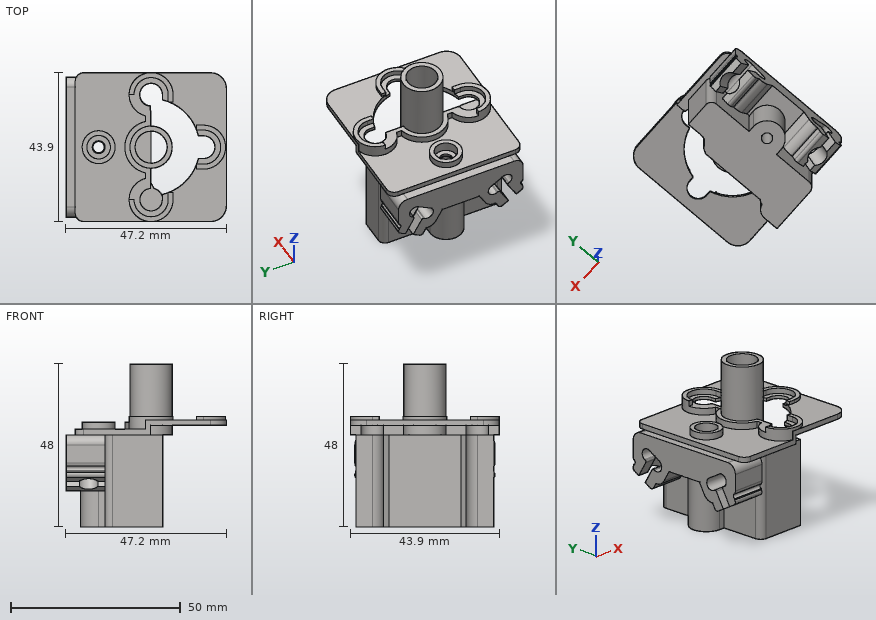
import math

import cadquery as cq


BLOCK_TOP = 27.2
PLATE_THICKNESS = 1.65
LOW_PLATE_TOP = BLOCK_TOP + PLATE_THICKNESS
HIGH_PLATE_TOP = 31.6
HIGH_PLATE_BOTTOM = HIGH_PLATE_TOP - PLATE_THICKNESS
FLOOR_Z = 30.95
RIM_TOP = 32.6
TUBE_TOP = 48.01

PLATE_LEFT = -22.35
PLATE_RIGHT = 22.22
PLATE_HALF_WIDTH = 21.945
LEFT_CORNER_RADIUS = 2.5
RIGHT_CORNER_RADIUS = 4.7
STEP_LEFT = -1.65
STEP_RIGHT = -0.2
OPENING_RADIUS = 14.3

TUBE_RADIUS = 6.23
BORE_RADIUS = 4.7
COLLAR_RADIUS = 7.75
BOSS_OFFSET = 15.47
BOSS_RADIUS = PLATE_HALF_WIDTH - BOSS_OFFSET
RECESS_RADIUS = 5.03
PORT_RADIUS = 3.3
RIM_LEG = 2.1

SCREW_X = -15.45
SCREW_BOSS_RADIUS = 4.85
SCREW_HEAD_RADIUS = 3.47
SCREW_SEAT_Z = 27.95
PLATE_HOLE_RADIUS = 1.9
COLUMN_HOLE_RADIUS = 1.65
COLUMN_RADIUS = 5.36
COLUMN_TOP = 17.6
NECK_RADIUS = 3.3

BLOCK_LEFT = -13.56
BLOCK_HALF_WIDTH = 20.3
BLOCK_CORNER_RADIUS = 2.2
LOBE_RADIUS = 3.45
LOBE_RAMP_START = 10.6
LOBE_RAMP_ANGLE = 75.0

BRACKET_LEFT = -25.0
BRACKET_HALF_WIDTH = 20.66
BRACKET_CORNER_RADIUS = 3.0
BRIDGE_BOTTOM = 18.0
BRIDGE_HALF_WIDTH = 6.14
CLIP_TILT = math.radians(30)
CLIP_Y = 13.04
CLIP_Z = 19.75
CLIP_LOBE_RADIUS = 1.95
CLIP_LOBE_SPACING = 4.58
STEM_WIDTH = 2.98
STEM_FILLET = 0.5
TIP_DEPTH = 8.1
INNER_JAW_REACH = 4.84
INNER_JAW_RADIUS = 1.0
OUTER_JAW_REACH = 3.78
SHOULDER_RADIUS = 3.5
SHOULDER_BOTTOM = 12.8
SIDE_BOTTOM = 18.97
GROOVE_EDGE_Y = 20.42
GROOVE_TOP = 18.0
GROOVE_BOTTOM = 16.5
LIP_FLAT = 0.4
GROOVE_FLOOR_Y = 19.87
JAW_BULGE_Z = 15.5
JAW_HOLE_X = -18.4
JAW_HOLE_RADIUS = 3.1


def disc(x, y, radius, bottom, top):
    """Vertical cylinder between two heights."""
    return cq.Workplane("XY", origin=(x, y, bottom)).circle(radius).extrude(top - bottom)


def slab(x0, x1, y0, y1, z0, z1):
    """Axis-aligned box given by its limits."""
    return cq.Workplane("XY").box(x1 - x0, y1 - y0, z1 - z0, centered=False).translate((x0, y0, z0))


def mirror_y(shape):
    """Copy reflected to the other side of the XZ plane."""
    return shape.mirror("XZ")


def stepped_plate():
    """Sheet that steps up at the tube, with rounded corners."""
    profile = [
        (PLATE_LEFT, BLOCK_TOP),
        (STEP_RIGHT, BLOCK_TOP),
        (STEP_RIGHT, HIGH_PLATE_BOTTOM),
        (PLATE_RIGHT, HIGH_PLATE_BOTTOM),
        (PLATE_RIGHT, HIGH_PLATE_TOP),
        (STEP_LEFT, HIGH_PLATE_TOP),
        (STEP_LEFT, LOW_PLATE_TOP),
        (PLATE_LEFT, LOW_PLATE_TOP),
    ]
    plate = cq.Workplane("XZ").polyline(profile).close().extrude(PLATE_HALF_WIDTH, both=True)
    plate = plate.edges("|Z and <X").fillet(LEFT_CORNER_RADIUS)
    return plate.edges("|Z and >X").fillet(RIGHT_CORNER_RADIUS)


def u_shape(radius, bottom, top):
    """Disc on the +X boss centre with a straight run toward the tube."""
    run = slab(BOSS_OFFSET - RIM_LEG, BOSS_OFFSET, -radius, radius, bottom, top)
    return disc(BOSS_OFFSET, 0, radius, bottom, top).union(run)


def end_rim():
    """U-shaped rim of the +X boss."""
    keep = slab(BOSS_OFFSET - RIM_LEG, PLATE_RIGHT, -BOSS_RADIUS, BOSS_RADIUS, HIGH_PLATE_BOTTOM, RIM_TOP)
    return u_shape(BOSS_RADIUS, HIGH_PLATE_BOTTOM, RIM_TOP).intersect(keep)


def side_rim():
    """Rim of the +Y boss: outer half circle and one straight leg."""
    half = slab(-BOSS_RADIUS, BOSS_RADIUS, BOSS_OFFSET, PLATE_HALF_WIDTH, LOW_PLATE_TOP, RIM_TOP)
    rim = disc(0, BOSS_OFFSET, BOSS_RADIUS, LOW_PLATE_TOP, RIM_TOP).intersect(half)
    leg = slab(0, BOSS_RADIUS, BOSS_OFFSET - RIM_LEG, BOSS_OFFSET, HIGH_PLATE_BOTTOM, RIM_TOP)
    under = slab(STEP_RIGHT, BOSS_RADIUS, 0, PLATE_HALF_WIDTH, BLOCK_TOP, HIGH_PLATE_BOTTOM)
    return rim.union(leg).cut(under)


def side_floor():
    """Low part of the +Y boss, left of the step."""
    left = slab(-BOSS_RADIUS, STEP_RIGHT, 0, PLATE_HALF_WIDTH, BLOCK_TOP, FLOOR_Z)
    return disc(0, BOSS_OFFSET, BOSS_RADIUS, BLOCK_TOP, FLOOR_Z).intersect(left)


def side_recess():
    """Space above the floor of the +Y boss and of the strip toward the tube."""
    pocket = disc(0, BOSS_OFFSET, RECESS_RADIUS, FLOOR_Z, RIM_TOP)
    right_run = slab(0, RECESS_RADIUS, 0, BOSS_OFFSET, FLOOR_Z, RIM_TOP)
    strip = slab(-BOSS_RADIUS, 0, 0, BOSS_OFFSET, FLOOR_Z, RIM_TOP)
    return pocket.union(right_run).union(strip)


def side_port():
    """Through hole of the +Y boss, open toward the large opening."""
    port = disc(0, BOSS_OFFSET, PORT_RADIUS, BLOCK_TOP, RIM_TOP)
    return port.union(slab(0, PORT_RADIUS, 0, BOSS_OFFSET, BLOCK_TOP, RIM_TOP))


def end_port():
    """Through hole of the +X boss, open toward the large opening."""
    port = disc(BOSS_OFFSET, 0, PORT_RADIUS, BLOCK_TOP, RIM_TOP)
    return port.union(slab(0, BOSS_OFFSET, -PORT_RADIUS, PORT_RADIUS, BLOCK_TOP, RIM_TOP))


def large_opening():
    """Half-round window right of the step."""
    right = slab(STEP_RIGHT, OPENING_RADIUS, -OPENING_RADIUS, OPENING_RADIUS, BLOCK_TOP, RIM_TOP)
    return disc(0, 0, OPENING_RADIUS, BLOCK_TOP, RIM_TOP).intersect(right)


def top_plate():
    """Stepped plate with bosses, recesses, openings, tube and screw boss."""
    plate = stepped_plate().union(disc(0, 0, COLLAR_RADIUS, BLOCK_TOP, FLOOR_Z))
    plate = plate.union(end_rim())
    for raised in (side_rim(), side_floor()):
        plate = plate.union(raised).union(mirror_y(raised))
    plate = plate.cut(u_shape(RECESS_RADIUS, FLOOR_Z, RIM_TOP))
    for opening in (side_recess(), side_port()):
        plate = plate.cut(opening).cut(mirror_y(opening))
    plate = plate.cut(end_port()).cut(large_opening())
    plate = plate.union(disc(0, 0, TUBE_RADIUS, BLOCK_TOP, TUBE_TOP))
    plate = plate.cut(disc(0, 0, BORE_RADIUS, BLOCK_TOP, TUBE_TOP))
    plate = plate.union(disc(SCREW_X, 0, SCREW_BOSS_RADIUS, BLOCK_TOP, FLOOR_Z))
    return plate.cut(disc(SCREW_X, 0, SCREW_HEAD_RADIUS, SCREW_SEAT_Z, FLOOR_Z))


def lobe():
    """Full-height prism on the -Y side that stands proud of the parting face."""
    ramp_angle = math.radians(LOBE_RAMP_ANGLE)
    mid_angle = ramp_angle / 2
    ramp_end = (LOBE_RADIUS * math.cos(ramp_angle), LOBE_RADIUS * math.sin(ramp_angle) - BOSS_OFFSET)
    arc_mid = (LOBE_RADIUS * math.cos(mid_angle), LOBE_RADIUS * math.sin(mid_angle) - BOSS_OFFSET)
    return (
        cq.Workplane("XY")
        .moveTo(0, -LOBE_RAMP_START)
        .lineTo(*ramp_end)
        .threePointArc(arc_mid, (LOBE_RADIUS, -BOSS_OFFSET))
        .lineTo(LOBE_RADIUS, -BLOCK_HALF_WIDTH)
        .lineTo(0, -BLOCK_HALF_WIDTH)
        .close()
        .extrude(BLOCK_TOP)
    )


def block():
    """Main block; the socket is the lobe turned half a turn about the tube axis."""
    body = slab(BLOCK_LEFT, 0, -BLOCK_HALF_WIDTH, BLOCK_HALF_WIDTH, 0, BLOCK_TOP)
    body = body.edges("|Z and <X").fillet(BLOCK_CORNER_RADIUS)
    socket = lobe().rotate((0, 0, 0), (0, 0, 1), 180)
    return body.union(lobe()).cut(socket)


def screw_column():
    """Column in front of the block, with a narrower neck up to the bracket."""
    column = disc(SCREW_X, 0, COLUMN_RADIUS, 0, COLUMN_TOP)
    column = column.union(slab(SCREW_X, BLOCK_LEFT, -COLUMN_RADIUS, COLUMN_RADIUS, 0, COLUMN_TOP))
    return column.union(disc(SCREW_X, 0, NECK_RADIUS, COLUMN_TOP, BRIDGE_BOTTOM))


def clip_point(across, down):
    """(Y, Z) of a point in the tilted clip frame: across the jaws, down toward their tips."""
    y = CLIP_Y + across * math.cos(CLIP_TILT) + down * math.sin(CLIP_TILT)
    z = CLIP_Z + across * math.sin(CLIP_TILT) - down * math.cos(CLIP_TILT)
    return y, z


def bracket_half():
    """Bracket section for Y >= 0, extruded along X, before the clip slot is cut."""
    shoulder_z = SHOULDER_BOTTOM + SHOULDER_RADIUS
    shoulder_start_z = shoulder_z - SHOULDER_RADIUS * math.sin(CLIP_TILT)
    shoulder_start_y = BRIDGE_HALF_WIDTH + (BRIDGE_BOTTOM - shoulder_start_z) * math.tan(CLIP_TILT)
    shoulder_y = shoulder_start_y + SHOULDER_RADIUS * math.cos(CLIP_TILT)
    shoulder_mid = (
        shoulder_y - SHOULDER_RADIUS * math.sin(CLIP_TILT),
        shoulder_z - SHOULDER_RADIUS * math.cos(CLIP_TILT),
    )
    jaw_root_y = CLIP_Y + (
        (CLIP_Z - SHOULDER_BOTTOM) * math.sin(CLIP_TILT) - INNER_JAW_REACH
    ) / math.cos(CLIP_TILT)
    corner_inset = INNER_JAW_RADIUS * (1 - math.sqrt(0.5))
    inner_side = -INNER_JAW_REACH
    side_round_mid = (
        BRACKET_HALF_WIDTH - (BRACKET_HALF_WIDTH - GROOVE_EDGE_Y) / 4,
        (SIDE_BOTTOM + GROOVE_TOP) / 2,
    )
    top_inset = BRACKET_CORNER_RADIUS * (1 - math.sqrt(0.5))
    return (
        cq.Workplane("YZ", origin=(BRACKET_LEFT, 0, 0))
        .moveTo(0, BRIDGE_BOTTOM)
        .lineTo(BRIDGE_HALF_WIDTH, BRIDGE_BOTTOM)
        .lineTo(shoulder_start_y, shoulder_start_z)
        .threePointArc(shoulder_mid, (shoulder_y, SHOULDER_BOTTOM))
        .lineTo(jaw_root_y, SHOULDER_BOTTOM)
        .lineTo(*clip_point(inner_side, TIP_DEPTH - INNER_JAW_RADIUS))
        .threePointArc(
            clip_point(inner_side + corner_inset, TIP_DEPTH - corner_inset),
            clip_point(inner_side + INNER_JAW_RADIUS, TIP_DEPTH),
        )
        .lineTo(*clip_point(OUTER_JAW_REACH, TIP_DEPTH))
        .threePointArc((BRACKET_HALF_WIDTH, JAW_BULGE_Z), (GROOVE_EDGE_Y, GROOVE_BOTTOM - LIP_FLAT))
        .lineTo(GROOVE_EDGE_Y, GROOVE_BOTTOM)
        .threePointArc((GROOVE_FLOOR_Y, (GROOVE_TOP + GROOVE_BOTTOM) / 2), (GROOVE_EDGE_Y, GROOVE_TOP))
        .threePointArc(side_round_mid, (BRACKET_HALF_WIDTH, SIDE_BOTTOM))
        .lineTo(BRACKET_HALF_WIDTH, BLOCK_TOP - BRACKET_CORNER_RADIUS)
        .threePointArc(
            (BRACKET_HALF_WIDTH - top_inset, BLOCK_TOP - top_inset),
            (BRACKET_HALF_WIDTH - BRACKET_CORNER_RADIUS, BLOCK_TOP),
        )
        .lineTo(0, BLOCK_TOP)
        .close()
        .extrude(BLOCK_LEFT - BRACKET_LEFT)
    )


def clip_slot():
    """T-shaped slot: tilted obround with a stem to the jaw tips and a round jaw hole."""
    length = BLOCK_LEFT - BRACKET_LEFT
    stem_length = 2 * TIP_DEPTH
    head = (
        cq.Workplane("YZ", origin=(BRACKET_LEFT, 0, 0))
        .slot2D(CLIP_LOBE_SPACING + 2 * CLIP_LOBE_RADIUS, 2 * CLIP_LOBE_RADIUS)
        .extrude(length)
    )
    stem = slab(BRACKET_LEFT, BLOCK_LEFT, -STEM_WIDTH / 2, STEM_WIDTH / 2, -stem_length, 0)
    slot = head.union(stem)
    junction = cq.selectors.BoxSelector(
        (BRACKET_LEFT, -STEM_WIDTH, -CLIP_LOBE_RADIUS - STEM_FILLET),
        (BLOCK_LEFT, STEM_WIDTH, -CLIP_LOBE_RADIUS + STEM_FILLET),
    )
    slot = slot.edges("|X").edges(junction).fillet(STEM_FILLET)
    slot = slot.union(disc(JAW_HOLE_X, 0, JAW_HOLE_RADIUS, -stem_length, 0))
    slot = slot.rotate((0, 0, 0), (1, 0, 0), math.degrees(CLIP_TILT))
    return slot.translate((0, CLIP_Y, CLIP_Z))


def clip_bracket():
    """Both mirrored halves of the bracket with their clip slots."""
    half = bracket_half().cut(clip_slot())
    return half.union(mirror_y(half))


def screw_hole():
    """Screw clearance: wider through the plate, narrower through the column."""
    hole = disc(SCREW_X, 0, COLUMN_HOLE_RADIUS, 0, FLOOR_Z)
    return hole.union(disc(SCREW_X, 0, PLATE_HOLE_RADIUS, BLOCK_TOP, FLOOR_Z))


result = block().union(clip_bracket()).union(screw_column()).union(top_plate()).cut(screw_hole())